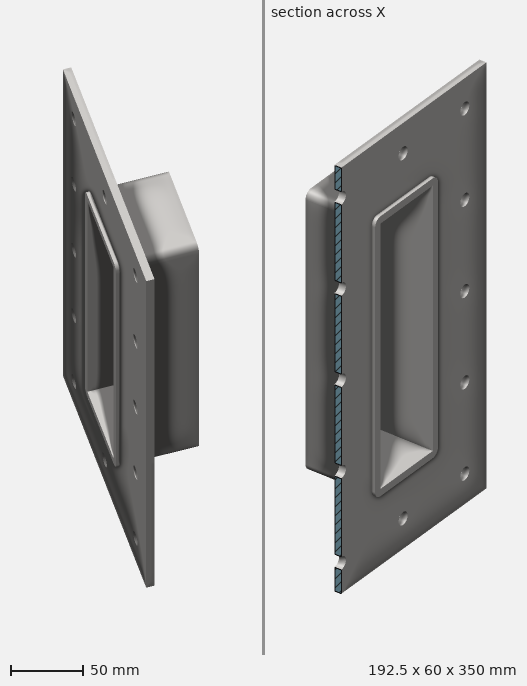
import cadquery as cq

plate_width = 192.5
plate_height = 350.0
plate_thickness = 6.0

flange_margin = 60.0
duct_wall = 6.0
duct_width = plate_width - 2 * flange_margin
duct_height = plate_height - 2 * flange_margin
opening_width = duct_width - 2 * duct_wall
opening_height = duct_height - 2 * duct_wall
duct_length = 60.0
duct_front_projection = 3.0
duct_corner_radius = 6.0

bolt_diameter = 10.5
bolt_edge_distance = 25.0
bolt_rows = 5
bolt_x = plate_width / 2 - bolt_edge_distance
bolt_z = plate_height / 2 - bolt_edge_distance
bolt_pitch = 2 * bolt_z / (bolt_rows - 1)

duct_front = 0.0
plate_front = duct_front + duct_front_projection


def block(width, length, height, front):
    """Box centred in X and Z, reaching from y = front towards +Y."""
    box = cq.Workplane("XY").box(width, length, height, centered=(True, False, True))
    return box.translate((0, front, 0))


def bolt_positions():
    """Full columns at both sides, plus one hole midway along the top and bottom edges."""
    positions = [(0, -bolt_z), (0, bolt_z)]
    for row in range(bolt_rows):
        z = -bolt_z + row * bolt_pitch
        positions += [(-bolt_x, z), (bolt_x, z)]
    return positions


def flange_plate():
    plate = block(plate_width, plate_thickness, plate_height, plate_front)
    front_face = plate.faces("<Y").workplane(origin=(0, plate_front, 0))
    return front_face.pushPoints(bolt_positions()).hole(bolt_diameter)


def duct_outside():
    body = block(duct_width, duct_length, duct_height, duct_front)
    return body.edges("|Y").fillet(duct_corner_radius)


def duct_opening():
    return block(opening_width, duct_length, opening_height, duct_front)


result = flange_plate().union(duct_outside()).cut(duct_opening())